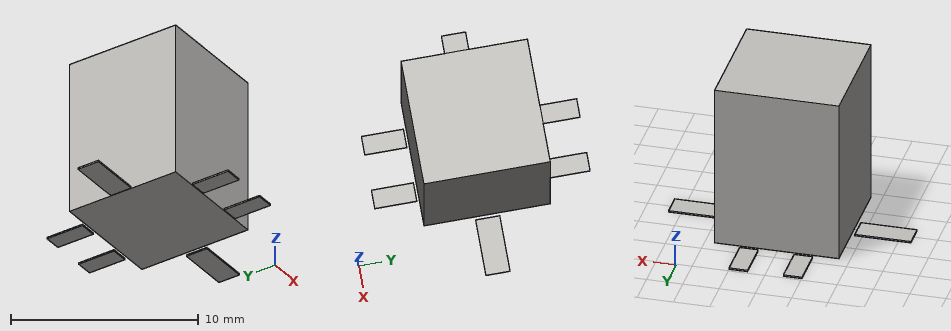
import cadquery as cq

overall_length = 13.37
overall_width = 11.69
overall_height = 9.47

pad_thickness = .095
end_pad_length = 3.1
end_pad_width = 1.32
side_pad_length = 2.29
side_pad_width = 1.03
side_pad_pitch = 3.0

housing_side = 6.86
housing_height = overall_height - pad_thickness

end_pad_offset = (overall_length - end_pad_length) / 2
side_pad_offset = (overall_width - side_pad_length) / 2


def make_housing():
    """Plain square block centered on the Z axis."""
    return cq.Workplane("XY").box(
        housing_side, housing_side, housing_height, centered=(True, True, False)
    )


def make_pad(size_x, size_y, center_x, center_y):
    """Flat rectangular pad with its top face on the plane Z = 0."""
    pad = cq.Workplane("XY").center(center_x, center_y).rect(size_x, size_y)
    return pad.extrude(-pad_thickness)


housing = make_housing()

end_pads = []
for x_side in (-1, 1):
    end_pads.append(make_pad(end_pad_length, end_pad_width, x_side * end_pad_offset, 0))

side_pads = []
for y_side in (-1, 1):
    for x_side in (-1, 1):
        center_x = x_side * side_pad_pitch / 2
        center_y = y_side * side_pad_offset
        side_pads.append(make_pad(side_pad_width, side_pad_length, center_x, center_y))

pads = end_pads + side_pads
result = cq.Compound.makeCompound([housing.val(), *[pad.val() for pad in pads]])